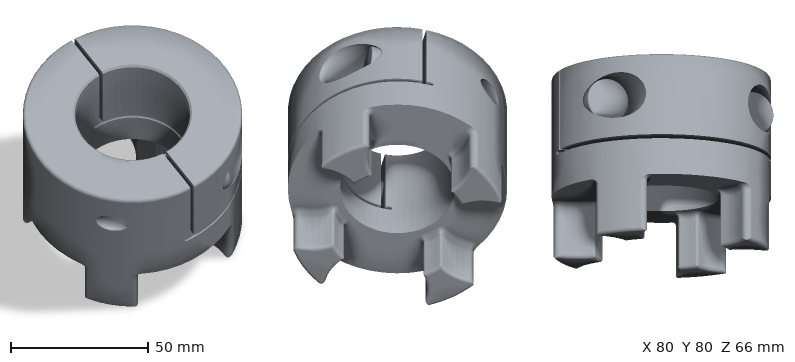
import cadquery as cq
import math


outer_radius = 40.0
total_height = 66.0
jaw_height = 21.0
bore_radius = 21.0
bore_chamfer = 0.7
rim_fillet = 1.3

jaw_count = 4
jaw_inner_radius = 25.0
lobe_radius = 18.8
lobe_offset = 32.0
jaw_outer_fillet = 2.0
jaw_inner_fillet = 1.0
jaw_tip_fillet = 1.3
jaw_root_fillet = 2.0
gap_overrun = 4.0

slot_width = 1.5
slot_center_z = 35.0
slot_end_y = -3.3

screw_x = 28.6
screw_z = 51.2
shank_radius = 5.0
head_radius = 8.0
head_height = 10.0
head_fillet = 0.5
head_top_y = 19.0
shank_length = 30.0
counterbore_radius = 8.5
hub_hole_radius = 4.2

cap_bottom_z = slot_center_z + slot_width / 2
head_seat_y = head_top_y - head_height
screw_positions = (-screw_x, screw_x)
screw_end_y = head_seat_y - shank_length
span = 4 * outer_radius


def disc(radius, bottom_z, height):
    """Upright cylinder on the coupling axis."""
    return cq.Workplane("XY").workplane(offset=bottom_z).circle(radius).extrude(height)


def y_cylinder(x, radius, start_y, end_y):
    """Cylinder along Y at screw height, from start_y up to end_y."""
    plane = cq.Plane(origin=(x, start_y, screw_z), xDir=(1, 0, 0), normal=(0, 1, 0))
    return cq.Workplane(plane).circle(radius).extrude(end_y - start_y)


def make_tipped_jaws():
    """Ring of sharp-cornered jaws left between the lobe pockets, with rounded tip edges."""
    ring = disc(outer_radius, 0, jaw_height).cut(disc(jaw_inner_radius, 0, jaw_height))
    lobes = (
        cq.Workplane("XY")
        .polarArray(lobe_offset, 0, 360, jaw_count)
        .circle(lobe_radius)
        .extrude(jaw_height)
    )
    return ring.cut(lobes).faces("<Z").edges().fillet(jaw_tip_fillet)


def polar_point(radius, angle):
    """Point at a radius and an angle in radians."""
    return (radius * math.cos(angle), radius * math.sin(angle))


def mirrored(point):
    """Point mirrored across the X axis."""
    return (point[0], -point[1])


def corner_tangent_points(ring_radius, fillet_center_radius, fillet_radius):
    """Ends of the corner fillet between a ring circle and the lobe pocket centered on +X.

    Returns the point on the ring circle and the point on the lobe circle.
    """
    center_distance = lobe_radius + fillet_radius
    fillet_center_x = (fillet_center_radius**2 + lobe_offset**2 - center_distance**2) / (2 * lobe_offset)
    fillet_center_y = math.sqrt(fillet_center_radius**2 - fillet_center_x**2)
    ring_scale = ring_radius / fillet_center_radius
    lobe_scale = lobe_radius / center_distance
    on_ring = (fillet_center_x * ring_scale, fillet_center_y * ring_scale)
    on_lobe = (
        lobe_offset + (fillet_center_x - lobe_offset) * lobe_scale,
        fillet_center_y * lobe_scale,
    )
    return on_ring, on_lobe


def make_gap_arm():
    """One arm of the open space between the jaws: the gap around +X and its share of the middle.

    Its walls are chains of tangent arcs that round the jaw corners. Each wall leaves the hub
    along a tangent line, so the arm reaches past the hub radius.
    """
    outer_ring, outer_lobe = corner_tangent_points(
        outer_radius, outer_radius - jaw_outer_fillet, jaw_outer_fillet
    )
    inner_ring, inner_lobe = corner_tangent_points(
        jaw_inner_radius, jaw_inner_radius + jaw_inner_fillet, jaw_inner_fillet
    )
    overrun_scale = gap_overrun / outer_radius
    tangent_end = (
        outer_ring[0] - outer_ring[1] * overrun_scale,
        outer_ring[1] + outer_ring[0] * overrun_scale,
    )
    arm_end = (outer_radius + gap_overrun, tangent_end[1])

    half_pitch = math.pi / jaw_count
    ring_mid_angle = (math.atan2(inner_ring[1], inner_ring[0]) + half_pitch) / 2
    ring_mid = polar_point(jaw_inner_radius, ring_mid_angle)
    jaw_mid = polar_point(jaw_inner_radius, half_pitch)

    outline = cq.Workplane("XY").lineTo(*mirrored(jaw_mid))
    outline = outline.threePointArc(mirrored(ring_mid), mirrored(inner_ring))
    for point in (inner_lobe, outer_lobe, outer_ring):
        outline = outline.tangentArcPoint(mirrored(point), relative=False)
    for point in (mirrored(tangent_end), mirrored(arm_end), arm_end, tangent_end, outer_ring):
        outline = outline.lineTo(*point)
    for point in (outer_lobe, inner_lobe, inner_ring):
        outline = outline.tangentArcPoint(point, relative=False)
    outline = outline.threePointArc(ring_mid, jaw_mid)
    return outline.close().extrude(jaw_height)


def make_jaw_gap():
    """All the open space between the jaws; its rounded top edge forms the jaw root fillets."""
    arm = make_gap_arm()
    gap = arm
    for index in range(1, jaw_count):
        gap = gap.union(arm.rotate((0, 0, 0), (0, 0, 1), index * 360 / jaw_count))
    return gap.faces(">Z").edges().fillet(jaw_root_fillet)


def make_barrel():
    """Round body of hub and cap together, from the jaw roots up, with a rounded top rim."""
    root_z = jaw_height - jaw_root_fillet
    barrel = disc(outer_radius, root_z, total_height - root_z)
    return barrel.faces(">Z").edges().fillet(rim_fillet)


def cut_bore(body):
    """Bore through the body, chamfered at the top."""
    chamfer_cone = cq.Solid.makeCone(
        bore_radius,
        bore_radius + bore_chamfer,
        bore_chamfer,
        pnt=cq.Vector(0, 0, total_height - bore_chamfer),
    )
    return body.cut(disc(bore_radius, 0, total_height)).cut(cq.Workplane(chamfer_cone))


def cap_side_block(min_y, bottom_z, top_z):
    """Block that covers everything beyond min_y on the cap side, between two heights."""
    block = cq.Workplane("XY").box(span, span, top_z - bottom_z, centered=(True, False, False))
    return block.translate((0, min_y, bottom_z))


def cut_slots(hub):
    """Clear the space of the cap and cut the round-ended slot below it."""
    hub = hub.cut(cap_side_block(-slot_width / 2, slot_center_z, total_height))
    slot_round_y = slot_end_y + slot_width / 2
    hub = hub.cut(cap_side_block(slot_round_y, slot_center_z - slot_width / 2, cap_bottom_z))
    slot_round = cq.Workplane("YZ").center(slot_round_y, slot_center_z).circle(slot_width / 2)
    return hub.cut(slot_round.extrude(outer_radius, both=True))


def make_hub():
    """Jawed hub with screw holes that narrow beyond the screw ends."""
    hub = make_tipped_jaws().union(make_barrel()).cut(make_jaw_gap())
    hub = cut_slots(cut_bore(hub))
    for x in screw_positions:
        hub = hub.cut(y_cylinder(x, hub_hole_radius, -outer_radius, 0))
        hub = hub.cut(y_cylinder(x, shank_radius, screw_end_y, 0))
    return hub


def make_cap():
    """Clamp cap with counterbored screw holes."""
    cap = cut_bore(make_barrel())
    cap = cap.intersect(cap_side_block(slot_width / 2, cap_bottom_z, total_height))
    for x in screw_positions:
        cap = cap.cut(y_cylinder(x, shank_radius, 0, outer_radius))
        cap = cap.cut(y_cylinder(x, counterbore_radius, head_seat_y, outer_radius))
    return cap


def make_screw(x):
    """Cylinder-head screw along Y."""
    shank = y_cylinder(x, shank_radius, screw_end_y, head_seat_y)
    head = y_cylinder(x, head_radius, head_seat_y, head_top_y)
    head = head.faces(">Y").edges().fillet(head_fillet)
    return shank.union(head)


hub = make_hub()
cap = make_cap()
screws = [make_screw(x) for x in screw_positions]

result = cq.Compound.makeCompound([hub.val(), cap.val(), *[screw.val() for screw in screws]])